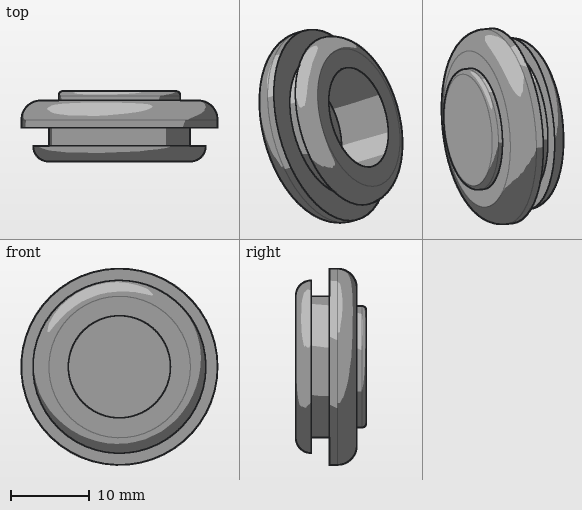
import cadquery as cq

flange_diameter = 25.0
flange_thickness = 3.5
flange_round = 2.5
lip_diameter = 22.0
lip_thickness = 2.0
groove_diameter = 18.0
groove_width = 2.3
cap_diameter = 15.5
cap_height = 1.2
cap_round = 0.6
bore_diameter = 13.0
floor_thickness = 1.7

lip_round = lip_thickness

open_face = 0.0
groove_start = open_face + lip_thickness
flange_start = groove_start + groove_width
cap_start = flange_start + flange_thickness
cap_face = cap_start + cap_height
bore_depth = cap_face - floor_thickness - open_face


def disc(diameter, start, length):
    """Solid cylinder on the Y axis, from start toward +Y."""
    axis_plane = cq.Workplane("XZ", origin=(0, start, 0))
    return axis_plane.circle(diameter / 2).extrude(-length)


def rounded_lip():
    """Retaining lip, quarter-round from the groove to its open face."""
    rim_radius = lip_diameter / 2
    face_radius = rim_radius - lip_round
    profile = (
        cq.Workplane("XY")
        .moveTo(0, open_face)
        .lineTo(face_radius, open_face)
        .radiusArc((rim_radius, groove_start), -lip_round)
        .lineTo(0, groove_start)
        .close()
    )
    return profile.revolve(360, (0, 0, 0), (0, 1, 0))


def rounded_disc(diameter, start, length, edge_round):
    """Cylinder with its +Y edge rounded."""
    return disc(diameter, start, length).faces(">Y").edges().fillet(edge_round)


lip = rounded_lip()
groove = disc(groove_diameter, groove_start, groove_width)
flange = rounded_disc(flange_diameter, flange_start, flange_thickness, flange_round)
cap = rounded_disc(cap_diameter, cap_start, cap_height, cap_round)
bore = disc(bore_diameter, open_face, bore_depth)

result = lip.union(groove).union(flange).union(cap).cut(bore)